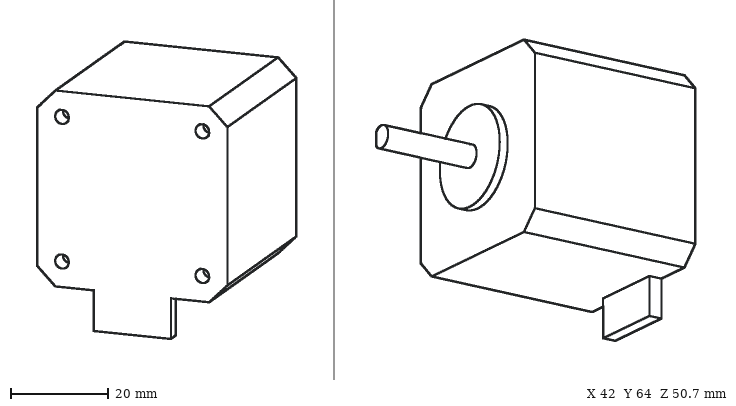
import cadquery as cq

body_width = 42.0
body_length = 40.0
corner_chamfer = 4.0

pilot_diameter = 22.0
pilot_height = 2.0
overall_length = 64
shaft_diameter = 5.0
shaft_flat_offset = 2.0

hole_diameter = 3.0
hole_pitch = 31.0
hole_depth = 4.5

tab_width = 17.0
tab_drop = 8.7
tab_thickness = 3.0

shaft_length = overall_length - body_length - pilot_height


def plane_at(y):
    """Plane facing +Y with local x along -X and local y along Z."""
    return cq.Workplane(cq.Plane(origin=(0, y, 0), xDir=(-1, 0, 0), normal=(0, 1, 0)))


def make_body():
    block = plane_at(0).rect(body_width, body_width).extrude(body_length)
    return block.edges("|Y").chamfer(corner_chamfer)


def make_pilot():
    return plane_at(body_length).circle(pilot_diameter / 2).extrude(pilot_height)


def make_shaft():
    radius = shaft_diameter / 2
    start = body_length + pilot_height
    rod = plane_at(start).circle(radius).extrude(shaft_length)
    flat_cut = (
        plane_at(start)
        .center(-(shaft_flat_offset + radius), 0)
        .rect(shaft_diameter, 2 * shaft_diameter)
        .extrude(shaft_length)
    )
    return rod.cut(flat_cut)


def make_tab():
    height = body_width / 2 + tab_drop
    return plane_at(0).center(0, -height / 2).rect(tab_width, height).extrude(tab_thickness)


def make_holes():
    return plane_at(0).rect(hole_pitch, hole_pitch, forConstruction=True).vertices().circle(
        hole_diameter / 2).extrude(hole_depth)


result = make_body().union(make_pilot()).union(make_shaft()).union(make_tab()).cut(make_holes())